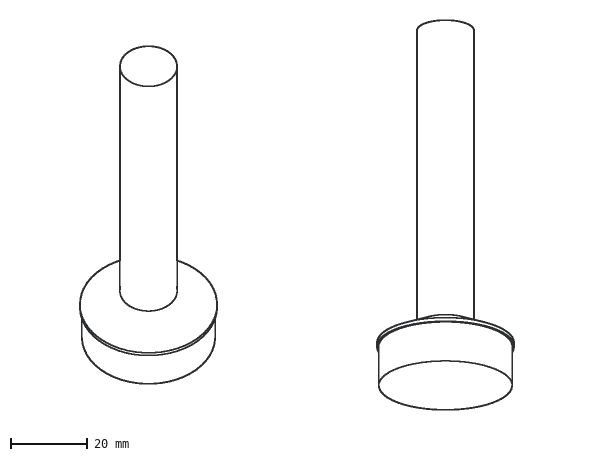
import cadquery as cq

total_height = 100.0
stem_diameter = 15.0
pad_diameter = 35.0
rim_diameter = 36.0
pad_height = 11.0
rim_height = 1.0
cone_height = 5.0

rim_top = pad_height + rim_height
cone_top = rim_top + cone_height
stem_radius = stem_diameter / 2
pad_radius = pad_diameter / 2
rim_radius = rim_diameter / 2

profile = (
    cq.Workplane("XZ")
    .moveTo(0, 0)
    .lineTo(pad_radius, 0)
    .lineTo(pad_radius, pad_height)
    .lineTo(rim_radius, pad_height)
    .lineTo(rim_radius, rim_top)
    .lineTo(stem_radius, cone_top)
    .lineTo(stem_radius, total_height)
    .lineTo(0, total_height)
    .close()
)

result = profile.revolve(360, (0, 0, 0), (0, 1, 0))